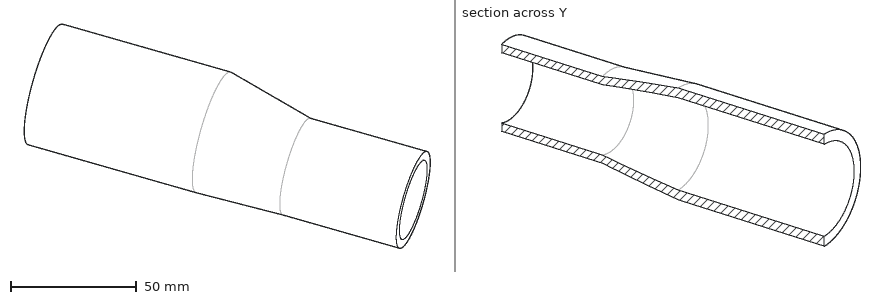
import cadquery as cq

total_length = 157.0
large_length = 71.0
taper_length = 36.9
small_length = total_length - large_length - taper_length

large_outer_diameter = 50.0
large_bore_diameter = 40.8
small_outer_diameter = 40.0
small_bore_diameter = 32.7

axis_offset = (large_outer_diameter - small_outer_diameter) / 2


def reducer_solid(large_diameter, small_diameter):
    """Large cylinder, eccentric taper and small cylinder joined end to end."""
    taper_end = large_length + taper_length
    large_end = cq.Workplane("YZ").circle(large_diameter / 2).extrude(large_length)
    taper = (
        cq.Workplane("YZ", origin=(large_length, 0, 0))
        .circle(large_diameter / 2)
        .workplane(offset=taper_length)
        .center(-axis_offset, 0)
        .circle(small_diameter / 2)
        .loft(ruled=True)
    )
    small_end = (
        cq.Workplane("YZ", origin=(taper_end, -axis_offset, 0))
        .circle(small_diameter / 2)
        .extrude(small_length)
    )
    return large_end.union(taper).union(small_end)


outer_body = reducer_solid(large_outer_diameter, small_outer_diameter)
bore = reducer_solid(large_bore_diameter, small_bore_diameter)
result = outer_body.cut(bore)